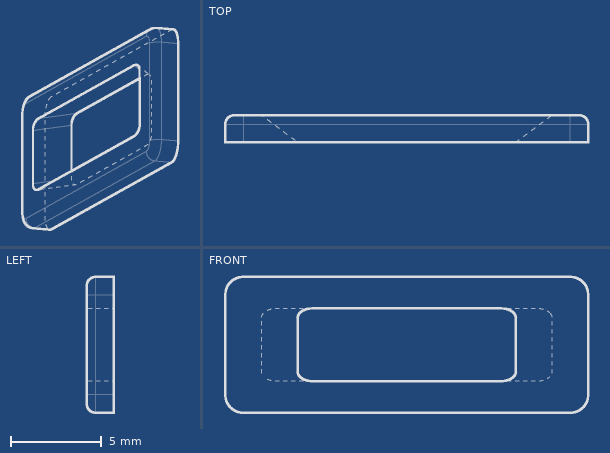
import cadquery as cq

length = 20.0
thickness = 1.5
height = 7.5
corner_radius = 1.0
rim_radius = 0.5

window_front_length = 12.0
window_back_length = 16.0
window_height = 4.0
window_corner_radius = 0.5

front_y = -thickness / 2
back_y = thickness / 2


def make_plate():
    plate = cq.Workplane("XY").box(length, thickness, height)
    plate = plate.edges("|Y").fillet(corner_radius)
    return plate.faces(">Y").edges().fillet(rim_radius)


def make_window():
    """Trapezoidal prism with rounded edges along its slanted end walls."""
    half_front = window_front_length / 2
    half_back = window_back_length / 2
    window = (
        cq.Workplane("XY")
        .workplane(offset=-window_height / 2)
        .moveTo(-half_front, front_y)
        .lineTo(half_front, front_y)
        .lineTo(half_back, back_y)
        .lineTo(-half_back, back_y)
        .close()
        .extrude(window_height)
    )
    end_walls = window.faces("<X or >X")
    slanted_edges = end_walls.edges("(not |X) and (not |Z)")
    return slanted_edges.fillet(window_corner_radius)


result = make_plate().cut(make_window())